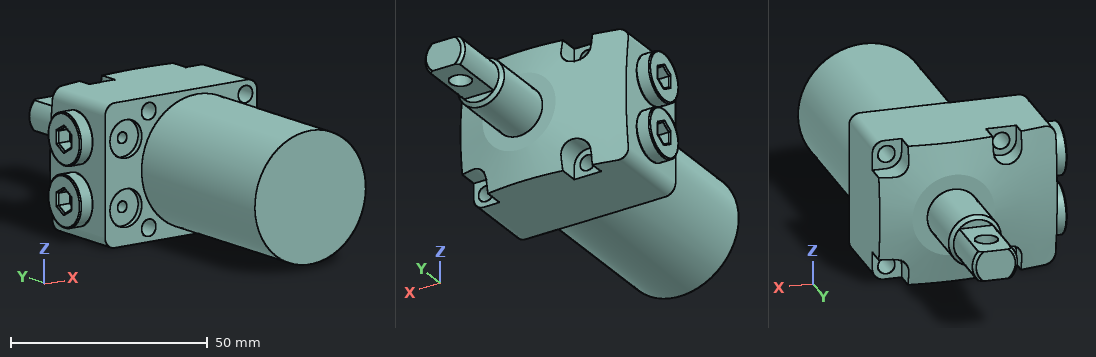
import cadquery as cq
import math


block_width = 48.0
block_height = 38.0
block_length = 28.5
block_right = block_height / 2
block_left = block_right - block_width
block_corner_radius = 3.0
crown_flat_radius = 11.0
crown_slope = 15

barrel_diameter = 35.0
barrel_length = 48.5

mount_offset = 15.3
mount_hole_diameter = 4.5
mount_pocket_diameter = 8.0
mount_pocket_floor = 20.0

port_from_left = 6.5
port_x = block_left + port_from_left
port_z = 9.0
port_recess_diameter = 10.1
port_recess_depth = 1.6
port_hole_diameter = 2.9

plug_y = 12.0
plug_z = 8.1
plug_head_diameter = 14.0
plug_head_length = 4.2
plug_head_chamfer = 0.3
plug_shank_diameter = 9.7
plug_shank_length = 7.5
plug_hex_across_flats = 5.5
plug_hex_chamfer = 0.4
plug_hex_depth = 4.0

rod_diameter = 14.0
rod_length = 36.0
tang_diameter = 12.0
shoulder_chamfer = (rod_diameter - tang_diameter) / 2
tang_length = 16.8
tang_thickness = 8.0
tang_chamfer = 0.8
eye_diameter = 6.0
eye_from_end = 8.0


def y_cylinder(diameter, y_start, length, x=0, z=0):
    """Cylinder running from y_start toward +Y."""
    center = cq.Vector(x, y_start, z)
    return cq.Workplane(cq.Solid.makeCylinder(diameter / 2, length, center, cq.Vector(0, 1, 0)))


def x_cylinder(diameter, x_start, length, y, z):
    """Cylinder running from x_start toward +X."""
    center = cq.Vector(x_start, y, z)
    return cq.Workplane(cq.Solid.makeCylinder(diameter / 2, length, center, cq.Vector(1, 0, 0)))


def make_block():
    """Rounded block whose rod end slopes away as a cone around a flat circle."""
    block = (
        cq.Workplane("XY")
        .box(block_width, block_length, block_height)
        .translate((block_left + block_width / 2, block_length / 2, 0))
        .edges("|Y")
        .fillet(block_corner_radius)
    )
    cone_radius = 2 * block_width
    cone_drop = (cone_radius - crown_flat_radius) * math.tan(math.radians(crown_slope))
    crown = (
        cq.Workplane("XY")
        .moveTo(0, block_length)
        .lineTo(crown_flat_radius, block_length)
        .lineTo(cone_radius, block_length - cone_drop)
        .lineTo(cone_radius, 0)
        .lineTo(0, 0)
        .close()
        .revolve(360, (0, 0, 0), (0, 1, 0))
    )
    return block.intersect(crown)


def mount_pocket(side_x, side_z):
    """Screw head pocket, round on the inside and open to the block's sides."""
    depth = block_length - mount_pocket_floor
    x = side_x * mount_offset
    y = mount_pocket_floor + depth / 2
    z = side_z * mount_offset
    pocket = y_cylinder(mount_pocket_diameter, mount_pocket_floor, depth, x, z)
    pocket = pocket.union(
        cq.Workplane("XY")
        .box(mount_pocket_diameter, depth, block_height)
        .translate((x, y, z + side_z * block_height / 2))
    )
    if side_x > 0:
        inner_wall_z = side_z * (mount_offset - mount_pocket_diameter / 2)
        pocket = pocket.union(
            cq.Workplane("XY")
            .box(block_width, depth, block_height)
            .translate((x + block_width / 2, y, inner_wall_z + side_z * block_height / 2))
        )
    return pocket


def make_housing():
    """Block and barrel in one, with mounting holes, oil ports and plug bores."""
    housing = make_block().union(y_cylinder(barrel_diameter, -barrel_length, barrel_length))
    for side_z in (-1, 1):
        for side_x in (-1, 1):
            hole_x = side_x * mount_offset
            hole_z = side_z * mount_offset
            housing = housing.cut(y_cylinder(mount_hole_diameter, 0, block_length, hole_x, hole_z))
            housing = housing.cut(mount_pocket(side_x, side_z))
        z = side_z * port_z
        housing = housing.cut(y_cylinder(port_recess_diameter, 0, port_recess_depth, port_x, z))
        housing = housing.cut(y_cylinder(port_hole_diameter, 0, plug_y, port_x, z))
        housing = housing.cut(
            x_cylinder(plug_shank_diameter, block_left, plug_shank_length, plug_y, side_z * plug_z)
        )
    return housing


def hex_outline(across_flats, x, z):
    """Hexagon across a plug's axis with two corners pointing up and down."""
    across_corners = across_flats / math.cos(math.radians(30))
    return (
        cq.Workplane("YZ", origin=(x, plug_y, z))
        .transformed(rotate=(0, 0, 90))
        .polygon(6, across_corners)
    )


def make_plug(z):
    """Screw plug with a round head, a hexagon socket and a plain shank."""
    head_left = block_left - plug_head_length
    head = x_cylinder(plug_head_diameter, head_left, plug_head_length, plug_y, z)
    head = head.faces("<X or >X").chamfer(plug_head_chamfer)
    shank = x_cylinder(plug_shank_diameter, block_left, plug_shank_length, plug_y, z)
    socket = hex_outline(plug_hex_across_flats, head_left, z).extrude(plug_hex_depth)
    mouth = hex_outline(plug_hex_across_flats + 2 * plug_hex_chamfer, head_left, z)
    mouth = mouth.extrude(2 * plug_hex_chamfer, taper=45)
    return head.union(shank).cut(socket).cut(mouth)


def make_rod():
    """Piston rod with a flattened tang and a cross hole at its end."""
    rod_end = block_length + rod_length
    tang_start = rod_end - tang_length
    shoulder_length = rod_length - tang_length
    shoulder = y_cylinder(rod_diameter, block_length, shoulder_length).faces(">Y").chamfer(shoulder_chamfer)
    tang = y_cylinder(tang_diameter, tang_start, tang_length).faces(">Y").chamfer(tang_chamfer)
    flats = (
        cq.Workplane("XY")
        .box(tang_diameter, tang_length, tang_thickness)
        .translate((0, tang_start + tang_length / 2, 0))
    )
    eye = (
        cq.Workplane("XY", origin=(0, rod_end - eye_from_end, 0))
        .circle(eye_diameter / 2)
        .extrude(tang_diameter / 2, both=True)
    )
    return shoulder.union(tang.intersect(flats)).cut(eye)


housing = make_housing()
rod = make_rod()
plugs = [make_plug(side_z * plug_z) for side_z in (-1, 1)]

result = cq.Compound.makeCompound([housing.val(), rod.val(), *[plug.val() for plug in plugs]])